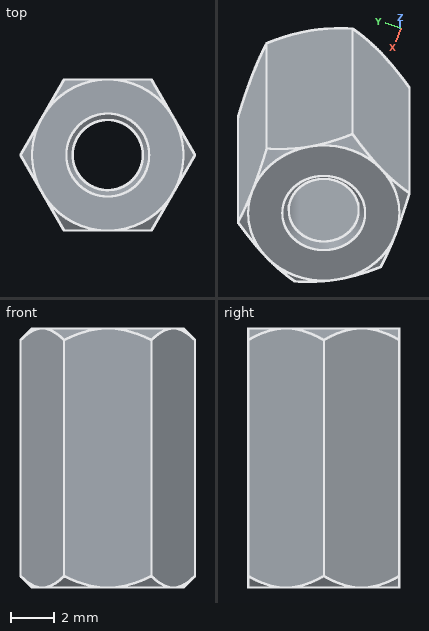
import cadquery as cq
import math

across_flats = 7.0
length = 12.0
bore_diameter = 3.24
countersink_diameter = 3.84

flat_radius = across_flats / 2
across_corners = across_flats / math.cos(math.radians(30))
corner_radius = across_corners / 2
corner_chamfer = corner_radius - flat_radius
countersink_depth = (countersink_diameter - bore_diameter) / 2


def hexagonal_bar():
    """Hexagonal prism along Z with two corners on the X axis."""
    return cq.Workplane("XY").polygon(6, across_corners).extrude(length)


def corner_rounding_envelope():
    """Round bar through the hexagon corners, chamfered down to the flats at both ends."""
    return (
        cq.Workplane("XY")
        .circle(corner_radius)
        .extrude(length)
        .faces("<Z or >Z")
        .edges()
        .chamfer(corner_chamfer)
    )


def countersunk_bore():
    """Through bore that widens conically at both ends, revolved about Z."""
    bore_radius = bore_diameter / 2
    mouth_radius = countersink_diameter / 2
    return (
        cq.Workplane("XZ")
        .moveTo(0, 0)
        .lineTo(mouth_radius, 0)
        .lineTo(bore_radius, countersink_depth)
        .lineTo(bore_radius, length - countersink_depth)
        .lineTo(mouth_radius, length)
        .lineTo(0, length)
        .close()
        .revolve(360, (0, 0), (0, 1))
    )


result = hexagonal_bar().intersect(corner_rounding_envelope()).cut(countersunk_bore())